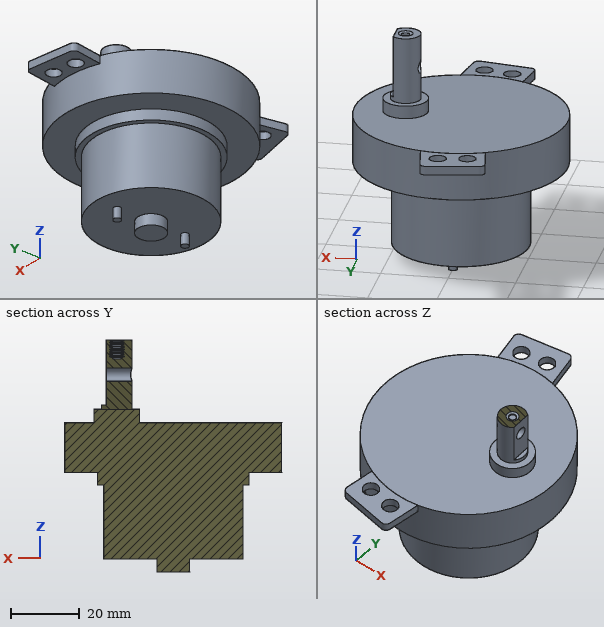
import cadquery as cq
import math

boss_height = 3.8
can_height = 21.5
flange_height = 3.7
gearbox_height = 14.5
collar_height = 3.9
shaft_height = 20.1

can_bottom = boss_height
flange_bottom = can_bottom + can_height
gearbox_bottom = flange_bottom + flange_height
gearbox_top = gearbox_bottom + gearbox_height
collar_top = gearbox_top + collar_height
shaft_top = collar_top + shaft_height

boss_diameter = 9.6
can_diameter = 40.6
flange_diameter = 44.2
gearbox_diameter = 63.2
collar_diameter = 13.3

ear_width = 18.9
ear_thickness = 2.7
ear_step = 0.04
ear_tilt = 10.0
ear_corner_radius = 1.7
ear_hole_diameter = 5.0
ear_hole_spacing = 8.6
ear_hole_distance = 36.1
ear_reach = 43.0
ear_root_depth = 11.2

shaft_offset = 16.4
shaft_diameter = 8.95
shaft_flat_distance = 3.1
round_base_height = 1.3
cross_hole_diameter = 3.8
cross_hole_depth = 10.1
threaded_diameter = 4.3
thread_minor_diameter = 2.3
thread_pitch = 0.7
thread_count = 8

terminal_diameter = 2.6
terminal_spacing = 25.1


def cylinder(diameter, bottom, height, x=0, y=0):
    """Upright cylinder centred on (x, y)."""
    return cq.Workplane("XY", origin=(x, y, bottom)).circle(diameter / 2).extrude(height)


def make_ear():
    """Tilted ear on the +Y side, with two holes and two rounded outer corners."""
    tilt = math.radians(ear_tilt)
    right = ear_width / 2
    corner_inset = right - ear_corner_radius
    center_x = -ear_hole_spacing / 2 * math.cos(tilt)
    center_y = ear_hole_distance - ear_hole_spacing / 2 * math.sin(tilt)
    corner_center_y = ear_reach - ear_corner_radius - center_y
    outer_edge = (corner_center_y - corner_inset * math.sin(tilt)) / math.cos(tilt) + ear_corner_radius
    length = outer_edge + ear_root_depth
    ear = (
        cq.Workplane("XY")
        .center(0, outer_edge - length / 2)
        .rect(ear_width, length)
        .extrude(ear_thickness)
        .edges("|Z and >Y")
        .fillet(ear_corner_radius)
    )
    hole_points = [(-ear_hole_spacing / 2, 0), (ear_hole_spacing / 2, 0)]
    holes = cq.Workplane("XY").pushPoints(hole_points).circle(ear_hole_diameter / 2).extrude(ear_thickness)
    return (
        ear.cut(holes)
        .rotate((0, 0, 0), (0, 0, 1), ear_tilt)
        .translate((center_x, center_y, gearbox_top - ear_step - ear_thickness))
    )


def make_housing():
    """Motor can, flange, gearbox, shaft collar and the two mirrored ears."""
    ear = make_ear()
    return (
        cylinder(boss_diameter, 0, boss_height)
        .union(cylinder(can_diameter, can_bottom, can_height))
        .union(cylinder(flange_diameter, flange_bottom, flange_height))
        .union(cylinder(gearbox_diameter, gearbox_bottom, gearbox_height))
        .union(cylinder(collar_diameter, gearbox_top, collar_height, x=shaft_offset))
        .union(ear)
        .union(ear.mirror("XZ"))
    )


def make_threaded_bore():
    """Cutter for the blind end bore, with ring-shaped V grooves as its thread."""
    major = threaded_diameter / 2
    minor = thread_minor_diameter / 2
    depth = thread_count * thread_pitch
    profile = cq.Workplane("XZ").moveTo(0, 0).lineTo(major, 0)
    for turn in range(thread_count):
        groove_top = -turn * thread_pitch
        profile = profile.lineTo(minor, groove_top - thread_pitch / 2)
        if turn < thread_count - 1:
            profile = profile.lineTo(major, groove_top - thread_pitch)
    bore = profile.lineTo(minor, -depth).lineTo(0, -depth).close().revolve(360, (0, 0), (0, 1))
    return bore.translate((shaft_offset, 0, shaft_top))


def make_shaft():
    """D-shaped output shaft with a round base, a cross hole and a threaded end."""
    shaft = cylinder(shaft_diameter, collar_top, shaft_height, x=shaft_offset)
    flat_height = shaft_height - round_base_height
    flat_cut = (
        cq.Workplane("XY", origin=(shaft_offset + shaft_flat_distance, 0, collar_top + round_base_height))
        .rect(shaft_diameter, 2 * shaft_diameter)
        .extrude(flat_height)
        .translate((shaft_diameter / 2, 0, 0))
    )
    cross_hole = (
        cq.Workplane("YZ", origin=(shaft_offset, 0, shaft_top - cross_hole_depth))
        .circle(cross_hole_diameter / 2)
        .extrude(shaft_diameter, both=True)
    )
    return shaft.cut(flat_cut).cut(cross_hole).cut(make_threaded_bore())


def make_terminal(side):
    """Round terminal below the can, on the +Y (side = 1) or -Y (side = -1) side."""
    return cylinder(terminal_diameter, 0, boss_height, y=side * terminal_spacing / 2)


housing = make_housing()
shaft = make_shaft()
terminals = [make_terminal(side) for side in (-1, 1)]

result = cq.Compound.makeCompound(
    [housing.val(), shaft.val(), *[terminal.val() for terminal in terminals]]
)